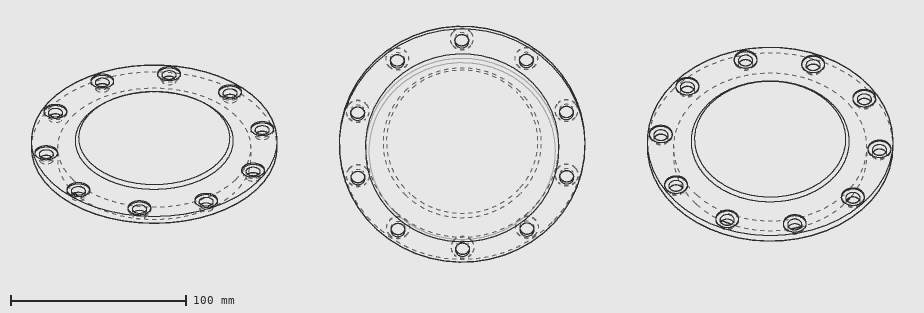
import cadquery as cq

flange_diameter = 140.0
flange_thickness = 5.0

spigot_diameter = 110.0
spigot_height = 10.0
spigot_edge_radius = 2.0

pad_diameter = 90.0
pad_height = 2.0

bolt_count = 10
bolt_circle_diameter = 125.0
hole_diameter = 8.0
counterbore_diameter = 13.0
counterbore_depth = 1.0


def make_spigot():
    """Disc below the flange with a rounded lower edge."""
    spigot = cq.Workplane("XY").circle(spigot_diameter / 2).extrude(-spigot_height)
    return spigot.faces("<Z").edges().fillet(spigot_edge_radius)


def make_flange():
    """Flange standing on Z = 0, with a ring of counterbored holes."""
    flange = cq.Workplane("XY").circle(flange_diameter / 2).extrude(flange_thickness)
    return (
        flange.faces(">Z")
        .workplane()
        .polarArray(bolt_circle_diameter / 2, 0, 360, bolt_count)
        .cboreHole(hole_diameter, counterbore_diameter, counterbore_depth)
    )


def make_pad():
    """Low cone frustum on top of the flange."""
    return (
        cq.Workplane("XY", origin=(0, 0, flange_thickness))
        .circle(pad_diameter / 2)
        .extrude(pad_height, taper=45)
    )


result = make_flange().union(make_spigot()).union(make_pad())